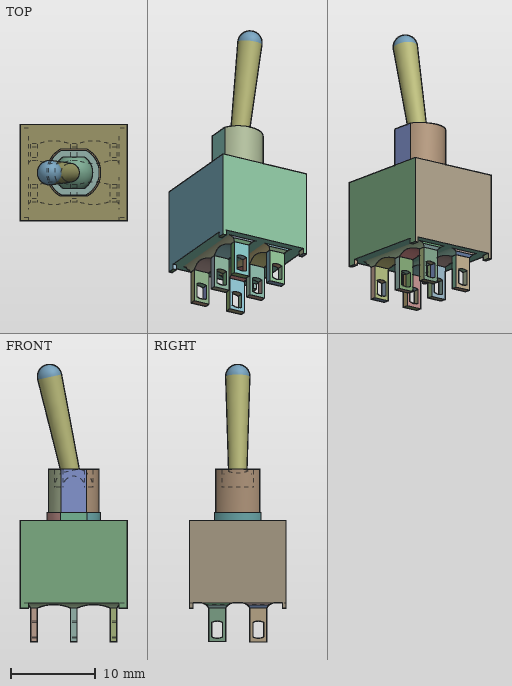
import cadquery as cq
import math

BODY_X = 12.7
BODY_Y = 11.43
BODY_Z = 10.4
FOOT_X = 1.0
FOOT_Y = 0.44
FOOT_Z = 0.63

COLLAR_RADIUS = 3.2
COLLAR_FLAT_WIDTH = 5.56
COLLAR_Z = 0.95
BUSHING_RADIUS = 3.02
BUSHING_FLAT_WIDTH = 5.26
BUSHING_Z = 5.1
BORE_RADIUS = 2.25
BORE_FLAT_WIDTH = 3.7
COLLAR_TOP = BODY_Z + COLLAR_Z
BUSHING_TOP = COLLAR_TOP + BUSHING_Z

PIN_PITCH_X = 4.7
PIN_PITCH_Y = 4.86
PIN_X = 0.8
PIN_Y = 2.03
PIN_DROP = 4.0
SHORT_PIN_DROP = 3.94
SLOT_Y = 1.25
SLOT_Z = 2.0
SLOT_SIDE_Z = 1.7
SLOT_CENTER_Z = -2.53

OVERALL_Z = 32.87
LEVER_TILT = 12.35
TIP_RADIUS = 1.46
LEVER_NECK_RADIUS = 1.05
PIVOT_DEPTH = 2.1
PIVOT_Z = BUSHING_TOP - PIVOT_DEPTH
TIP_RISE = OVERALL_Z - PIN_DROP - TIP_RADIUS - PIVOT_Z
LEVER_LENGTH = TIP_RISE / math.cos(math.radians(LEVER_TILT))

SEAL_TIP_Z = 0.02
SEAL_MID_Z = 0.42
SEAL_END_X = BODY_X / 2 - FOOT_X
SEAL_END_Z = 0.38
SEAL_FLARE_Y = 0.83
SEAL_SAG = 0.15


def flatted_disc(radius, flat_width, height, bottom):
    disc = cq.Workplane("XY").workplane(offset=bottom).circle(radius).extrude(height)
    slab = (
        cq.Workplane("XY").workplane(offset=bottom)
        .rect(2 * radius, flat_width).extrude(height)
    )
    return disc.intersect(slab)


def make_body():
    """Box whose underside is recessed both ways, leaving a foot at each corner."""
    body = cq.Workplane("XY").box(BODY_X, BODY_Y, BODY_Z, centered=(True, True, False))
    across_x = cq.Workplane("XY").rect(BODY_X, BODY_Y - 2 * FOOT_Y).extrude(FOOT_Z)
    across_y = cq.Workplane("XY").rect(BODY_X - 2 * FOOT_X, BODY_Y).extrude(FOOT_Z)
    return body.cut(across_x).cut(across_y)


def make_bushing():
    collar = flatted_disc(COLLAR_RADIUS, COLLAR_FLAT_WIDTH, COLLAR_Z, BODY_Z)
    barrel = flatted_disc(BUSHING_RADIUS, BUSHING_FLAT_WIDTH, BUSHING_Z, COLLAR_TOP)
    bore = flatted_disc(BORE_RADIUS, BORE_FLAT_WIDTH, PIVOT_DEPTH, PIVOT_Z)
    return collar.union(barrel).cut(bore)


def make_lever():
    """Pivot ball, tapered rod and round tip, built upright and then tilted."""
    ball = cq.Workplane("XY").sphere(BORE_RADIUS)
    rod = cq.Workplane("XY").add(
        cq.Solid.makeCone(LEVER_NECK_RADIUS, TIP_RADIUS, LEVER_LENGTH)
    )
    tip = cq.Workplane("XY").sphere(TIP_RADIUS).translate((0, 0, LEVER_LENGTH))
    lever = ball.union(rod).union(tip)
    return lever.rotate((0, 0, 0), (0, 1, 0), -LEVER_TILT).translate((0, 0, PIVOT_Z))


def make_pin(x, y, drop):
    """Flat terminal with a wire slot whose two ends are shallow arcs."""
    pin = (
        cq.Workplane("XY").workplane(offset=-drop).center(x, y)
        .rect(PIN_X, PIN_Y).extrude(drop + FOOT_Z)
    )
    half_y = SLOT_Y / 2
    half_side = SLOT_SIDE_Z / 2
    half_z = SLOT_Z / 2
    slot = (
        cq.Workplane("YZ", origin=(x, y, SLOT_CENTER_Z))
        .moveTo(-half_y, -half_side)
        .threePointArc((0, -half_z), (half_y, -half_side))
        .lineTo(half_y, half_side)
        .threePointArc((0, half_z), (-half_y, half_side))
        .close()
        .extrude(PIN_X, both=True)
    )
    return pin.cut(slot)


def make_seal_arches():
    """Sealant outline across the columns, arched between them, as a prism along Y."""
    half_pin = PIN_X / 2
    outer_edge = PIN_PITCH_X + half_pin
    arch_mid = PIN_PITCH_X / 2
    return (
        cq.Workplane("XZ")
        .moveTo(-SEAL_END_X, FOOT_Z)
        .lineTo(-SEAL_END_X, SEAL_END_Z)
        .lineTo(-outer_edge, SEAL_TIP_Z)
        .lineTo(-PIN_PITCH_X + half_pin, SEAL_TIP_Z)
        .threePointArc((-arch_mid, SEAL_MID_Z), (-half_pin, SEAL_TIP_Z))
        .lineTo(half_pin, SEAL_TIP_Z)
        .threePointArc((arch_mid, SEAL_MID_Z), (PIN_PITCH_X - half_pin, SEAL_TIP_Z))
        .lineTo(outer_edge, SEAL_TIP_Z)
        .lineTo(SEAL_END_X, SEAL_END_Z)
        .lineTo(SEAL_END_X, FOOT_Z)
        .close()
        .extrude(BODY_Y / 2, both=True)
    )


def make_seal_row(row_y):
    """Sealant along one row of terminals, flaring up and out to the recess on both sides."""
    tip_y = PIN_Y / 2
    flare_y = tip_y + SEAL_FLARE_Y
    mid_y = (tip_y + flare_y) / 2
    mid_z = (SEAL_TIP_Z + FOOT_Z) / 2 + SEAL_SAG
    flare = (
        cq.Workplane("YZ", origin=(0, row_y, 0))
        .moveTo(-flare_y, FOOT_Z)
        .threePointArc((-mid_y, mid_z), (-tip_y, SEAL_TIP_Z))
        .lineTo(tip_y, SEAL_TIP_Z)
        .threePointArc((mid_y, mid_z), (flare_y, FOOT_Z))
        .close()
        .extrude(BODY_X / 2, both=True)
    )
    return flare.intersect(make_seal_arches())


result = make_body().union(make_bushing()).union(make_lever())
for row_y, drop in ((PIN_PITCH_Y / 2, PIN_DROP), (-PIN_PITCH_Y / 2, SHORT_PIN_DROP)):
    result = result.union(make_seal_row(row_y))
    for column in (-1, 0, 1):
        result = result.union(make_pin(column * PIN_PITCH_X, row_y, drop))